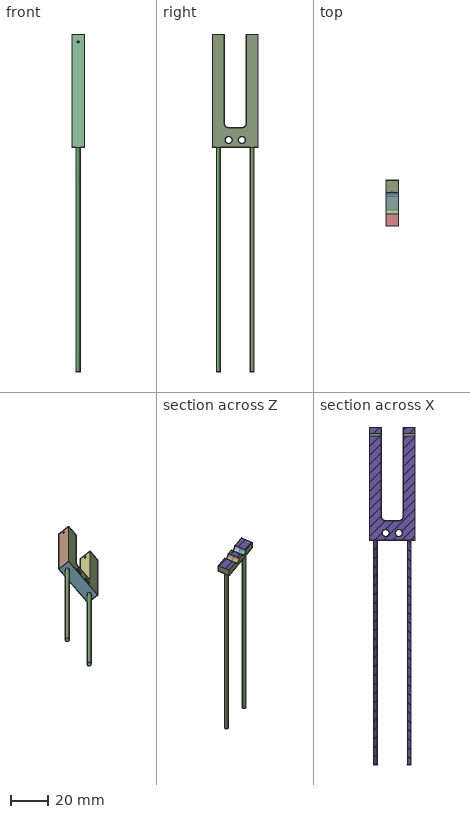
import cadquery as cq

total_height = 181.0
fork_height = 60.6
fork_width = 24.6
fork_thickness = 6.9

slot_width = 11.5
slot_depth = 50.0
slot_corner_radius = 2.2

mount_hole_diameter = 3.6
mount_hole_spacing = 7.0
mount_hole_height = 4.0

aperture_diameter = 0.9
aperture_drop = 4.0

wire_diameter = 2.2
wire_spacing = 18.1
wire_stagger = 0.4

wire_length = total_height - fork_height


def make_fork():
    """U-shaped fork with mounting holes and a beam aperture."""
    body = cq.Workplane("XY").box(
        fork_thickness, fork_width, fork_height, centered=(True, True, False)
    )
    slot = (
        cq.Workplane("XY", origin=(0, 0, fork_height - slot_depth))
        .box(fork_thickness, slot_width, slot_depth, centered=(True, True, False))
        .edges("|X and <Z")
        .fillet(slot_corner_radius)
    )
    mount_holes = (
        cq.Workplane("YZ", origin=(0, 0, mount_hole_height))
        .pushPoints([(side * mount_hole_spacing / 2, 0) for side in (-1, 1)])
        .circle(mount_hole_diameter / 2)
        .extrude(fork_thickness / 2, both=True)
    )
    aperture = (
        cq.Workplane("XZ", origin=(0, 0, fork_height - aperture_drop))
        .circle(aperture_diameter / 2)
        .extrude(fork_width / 2, both=True)
    )
    return body.cut(slot).cut(mount_holes).cut(aperture)


def make_wire(x, y):
    """Straight round wire that ends on the underside of the fork."""
    return cq.Workplane("XY", origin=(x, y, 0)).circle(wire_diameter / 2).extrude(-wire_length)


fork = make_fork()
wires = [make_wire(side * wire_stagger / 2, side * wire_spacing / 2) for side in (-1, 1)]

result = cq.Compound.makeCompound([fork.val(), *[wire.val() for wire in wires]])